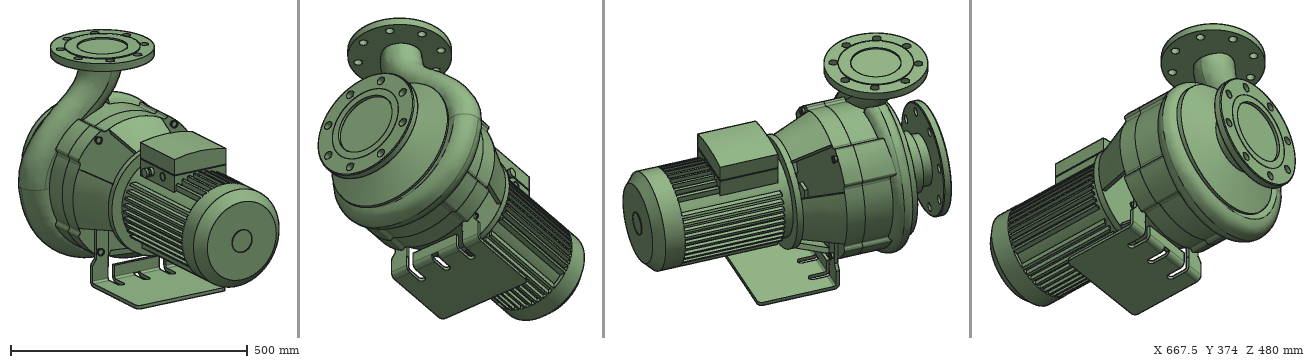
import cadquery as cq
import math


TOTAL_LENGTH = 667.5
DISCHARGE_HEIGHT = 280.0
FOOT_DEPTH = 200.0
VOLUTE_X = 125.0

SUCTION_FLANGE_D = 250.0
SUCTION_FLANGE_END = 19.0
SUCTION_RIM_CHAMFER = 2.0
SUCTION_FACE_D = 172.0
SUCTION_FACE_HEIGHT = 1.0
SUCTION_PORT_D = 139.5
SUCTION_PORT_DEPTH = 7.0
SUCTION_BOLT_CIRCLE_D = 210.0
SUCTION_HOLE_D = 19.0
SUCTION_NECK_D = 114.0
SUCTION_COLLAR_D = 134.0
COLLAR_START = 42.0
COLLAR_END = 62.0

DISCHARGE_FLANGE_D = 220.0
DISCHARGE_FLANGE_BOTTOM = 260.0
DISCHARGE_FACE_D = 160.0
DISCHARGE_FACE_HEIGHT = 2.0
DISCHARGE_PORT_D = 107.0
DISCHARGE_PORT_DEPTH = 3.5
DISCHARGE_BOLT_CIRCLE_D = 180.0
DISCHARGE_HOLE_D = 18.0
FLANGE_HOLES = 8

COVER_R = 151.0
CONE_END = 88.0
CORE_END = 161.5
DRUM_R = 157.0
CASING_END = 209.5

SPIRAL_STATIONS = [
    (0, 169.0, 37.0),
    (45, 164.0, 35.0),
    (90, 155.5, 32.0),
    (135, 147.0, 29.5),
    (180, 140.0, 27.5),
    (225, 141.5, 27.5),
    (270, 147.0, 29.5),
]
PIPE_STATIONS = [
    (-169.0, 0.0, 0, 37.0),
    (-119.5, 105.0, 42, 37.5),
    (-65.5, 151.0, 44, 39.0),
    (-24.0, 192.0, 22, 41.5),
    (-3.5, 263.5, 15, 44.0),
]

PAD_R = 166.0
PAD_FOOT_ANGLE = 27.7
PAD_MID_ANGLE = 30.0
PAD_TOP_ANGLE = 31.6
PAD_MID_R = 162.0

LANTERN_RING_END = 251.0
LANTERN_FLANGE_START = 337.0
LANTERN_FLANGE_END = 351.0
LANTERN_FLANGE_R = 247.0 / 2
ARM_THICKNESS = 13.0
ARM_HALF_ANGLE = 25.0

MOTOR_BODY_R = 197.0 / 2
MOTOR_R = 217.0 / 2
FIN_START = 372.5
FIN_END = 599.5
FIN_PITCH = 15.0
FIN_THICKNESS = 5.0
FINS_EACH_WAY = 4
BELL_CHAMFER = 21.5
BELL_END = 665.5
END_CAP_D = 50.0

BOX_LENGTH = 131.5
BOX_HALF_WIDTH = 65.5
BOX_BOTTOM = 73.5
BOX_SIDE_TOP = 147.5
BOX_CROWN = 155.0
LID_SEAM_Z = 111.0
LID_SEAM_SIZE = 1.5
ENTRY_Z = 95.5
GLAND_X = 417.0
PLUG_X = 458.0
PLUG_D = 18.0
PLUG_DEPTH = 1.5
GLAND_D = 19.0
GLAND_NECK_D = 16.0
GLAND_HEAD_D = 20.0
GLAND_LENGTH = 19.5
GLAND_COLLAR_LENGTH = 7.5
GLAND_HEAD_LENGTH = 7.5

FOOT_END = 434.5
FOOT_HALF_WIDTH = 113.0
FOOT_THICKNESS = 8.0
FOOT_BEND_R = 5.0
FOOT_CORNER = 11.0
LUG_TOP = -66.0
LUG_HALF_WIDTH = 103.0
LUG_SHOULDER_TOP = -141.0
LUG_SHOULDER_BOTTOM = -154.0
ARM_CLEARANCE_HALF_WIDTH = 72.0
ARM_CLEARANCE_BOTTOM = -163.0
SLOT_WIDTH = 16.0
SLOT_PITCH = 65.0
SLOT_END = 302.5
CENTRE_SLOT_TOP = -189.5

BOLT_Y = 95.5
BOLT_Z = 124.0
BOLT_D = 13.0
BOLT_RIM_D = 16.0
BOLT_LENGTH = 8.0
BOLT_RIM_LENGTH = 2.0


def disc(radius, start, end):
    """Cylinder on the shaft axis from x = start to x = end."""
    return cq.Workplane("YZ").workplane(offset=start).circle(radius).extrude(end - start)


def turned(profile):
    """Solid of revolution about the shaft from (x, radius) points."""
    return cq.Workplane("XY").polyline(profile).close().revolve(360, (0, 0, 0), (1, 0, 0))


def around_shaft(radius, degrees):
    """(y, z) point at an angle from +Y toward +Z."""
    angle = math.radians(degrees)
    return (radius * math.cos(angle), radius * math.sin(angle))


def padded_drum(start, end):
    """Drum with four raised pads at its diagonals; the pad sides are smooth S curves."""
    outline = cq.Workplane("YZ").workplane(offset=start).moveTo(*around_shaft(DRUM_R, 0))
    for quarter in range(4):
        base = 90 * quarter
        outline = (
            outline.threePointArc(
                around_shaft(DRUM_R, base + PAD_FOOT_ANGLE / 2),
                around_shaft(DRUM_R, base + PAD_FOOT_ANGLE),
            )
            .tangentArcPoint(around_shaft(PAD_MID_R, base + PAD_MID_ANGLE), relative=False)
            .tangentArcPoint(around_shaft(PAD_R, base + PAD_TOP_ANGLE), relative=False)
            .threePointArc(
                around_shaft(PAD_R, base + 45),
                around_shaft(PAD_R, base + 90 - PAD_TOP_ANGLE),
            )
            .tangentArcPoint(around_shaft(PAD_MID_R, base + 90 - PAD_MID_ANGLE), relative=False)
            .tangentArcPoint(around_shaft(DRUM_R, base + 90 - PAD_FOOT_ANGLE), relative=False)
            .threePointArc(
                around_shaft(DRUM_R, base + 90 - PAD_FOOT_ANGLE / 2),
                around_shaft(DRUM_R, base + 90),
            )
        )
    return outline.close().extrude(end - start)


def tube_section(y, z, direction_y, direction_z, radius):
    """Circle centred in the volute mid plane and square to the given direction."""
    return cq.Wire.makeCircle(radius, cq.Vector(VOLUTE_X, y, z), cq.Vector(0, direction_y, direction_z))


def spiral_tube():
    """Tapering scroll from the discharge start round under the casing to its top."""
    sections = []
    for degrees, centre_r, tube_r in SPIRAL_STATIONS:
        angle = math.radians(degrees)
        y, z = around_shaft(centre_r, 180 + degrees)
        sections.append(tube_section(y, z, math.sin(angle), -math.cos(angle), tube_r))
    return cq.Workplane(cq.Solid.makeLoft(sections))


def discharge_pipe():
    """Swan-neck pipe that leaves the scroll upward and ends under the discharge flange."""
    sections = []
    for y, z, lean, tube_r in PIPE_STATIONS:
        angle = math.radians(lean)
        sections.append(tube_section(y, z, math.sin(angle), math.cos(angle), tube_r))
    return cq.Workplane(cq.Solid.makeLoft(sections))


def suction_branch():
    """Suction flange, neck, collar and the cone that opens to the volute."""
    flange_r = SUCTION_FLANGE_D / 2
    rim_r = flange_r - SUCTION_RIM_CHAMFER
    face_r = SUCTION_FACE_D / 2
    flange_start = SUCTION_FACE_HEIGHT
    collar_r = SUCTION_COLLAR_D / 2
    branch = turned([
        (0, 0),
        (0, face_r),
        (flange_start, face_r),
        (flange_start, rim_r),
        (flange_start + SUCTION_RIM_CHAMFER, flange_r),
        (SUCTION_FLANGE_END - SUCTION_RIM_CHAMFER, flange_r),
        (SUCTION_FLANGE_END, rim_r),
        (SUCTION_FLANGE_END, SUCTION_NECK_D / 2),
        (COLLAR_START, SUCTION_NECK_D / 2),
        (COLLAR_START, collar_r),
        (COLLAR_END, collar_r),
        (CONE_END, COVER_R),
        (CORE_END, COVER_R),
        (CORE_END, 0),
    ])
    holes = (
        cq.Workplane("YZ")
        .polarArray(SUCTION_BOLT_CIRCLE_D / 2, 180 / FLANGE_HOLES, 360, FLANGE_HOLES)
        .circle(SUCTION_HOLE_D / 2)
        .extrude(SUCTION_FLANGE_END)
    )
    return branch.cut(holes).cut(disc(SUCTION_PORT_D / 2, 0, SUCTION_PORT_DEPTH))


def discharge_flange():
    """Flange with a raised face, without its port and holes."""
    flange_top = DISCHARGE_HEIGHT - DISCHARGE_FACE_HEIGHT
    base = cq.Workplane("XY").workplane(offset=DISCHARGE_FLANGE_BOTTOM).center(VOLUTE_X, 0)
    flange = base.circle(DISCHARGE_FLANGE_D / 2).extrude(flange_top - DISCHARGE_FLANGE_BOTTOM)
    face = base.circle(DISCHARGE_FACE_D / 2).extrude(DISCHARGE_HEIGHT - DISCHARGE_FLANGE_BOTTOM)
    return flange.union(face)


def discharge_openings():
    """Shallow port and the bolt holes of the discharge flange."""
    top = cq.Workplane("XY").workplane(offset=DISCHARGE_HEIGHT).center(VOLUTE_X, 0)
    port = top.circle(DISCHARGE_PORT_D / 2).extrude(-DISCHARGE_PORT_DEPTH)
    holes = (
        top.polarArray(DISCHARGE_BOLT_CIRCLE_D / 2, 180 / FLANGE_HOLES, 360, FLANGE_HOLES)
        .circle(DISCHARGE_HOLE_D / 2)
        .extrude(DISCHARGE_FLANGE_BOTTOM - DISCHARGE_HEIGHT)
    )
    return port.union(holes)


def make_casing():
    """Suction branch, padded drum, scroll and discharge in one piece."""
    casing = suction_branch().union(padded_drum(VOLUTE_X, CASING_END))
    casing = casing.union(spiral_tube()).union(discharge_pipe()).union(discharge_flange())
    return casing.cut(discharge_openings())


def arm_windows():
    """Four wedges at the diagonals that open the lantern cone between its arms."""
    reach = 2 * DRUM_R
    windows = cq.Workplane("YZ").workplane(offset=LANTERN_RING_END)
    for quarter in range(4):
        base = 90 * quarter
        windows = (
            windows.moveTo(0, 0)
            .lineTo(*around_shaft(reach, base + ARM_HALF_ANGLE))
            .lineTo(*around_shaft(reach, base + 90 - ARM_HALF_ANGLE))
            .close()
        )
    return windows.extrude(LANTERN_FLANGE_START - LANTERN_RING_END)


def make_lantern():
    """Ring, four arms on a cone, and the motor flange."""
    wide_r = DRUM_R
    narrow_r = LANTERN_FLANGE_R
    shell = turned([
        (LANTERN_RING_END, wide_r - ARM_THICKNESS),
        (LANTERN_RING_END, wide_r),
        (LANTERN_FLANGE_START, narrow_r),
        (LANTERN_FLANGE_START, narrow_r - ARM_THICKNESS),
    ])
    arms = shell.cut(arm_windows())
    ring = padded_drum(CASING_END, LANTERN_RING_END)
    flange = disc(LANTERN_FLANGE_R, LANTERN_FLANGE_START, LANTERN_FLANGE_END)
    return ring.union(arms).union(flange)


def motor_core():
    """Plain turned motor: finless body, end bell and end cap."""
    return turned([
        (LANTERN_FLANGE_END, 0),
        (LANTERN_FLANGE_END, MOTOR_BODY_R),
        (FIN_END, MOTOR_BODY_R),
        (FIN_END, MOTOR_R),
        (BELL_END - BELL_CHAMFER, MOTOR_R),
        (BELL_END, MOTOR_R - BELL_CHAMFER),
        (BELL_END, END_CAP_D / 2),
        (TOTAL_LENGTH, END_CAP_D / 2),
        (TOTAL_LENGTH, 0),
    ])


def cooling_fins():
    """Parallel fins above, below and on both sides, trimmed to the motor diameter."""
    fin_length = FIN_END - FIN_START
    fin_middle = (FIN_START + FIN_END) / 2
    centres = [(fin_middle, step * FIN_PITCH) for step in range(-FINS_EACH_WAY, FINS_EACH_WAY + 1)]
    upright = (
        cq.Workplane("XY").pushPoints(centres)
        .rect(fin_length, FIN_THICKNESS)
        .extrude(MOTOR_R, both=True)
    )
    sideways = upright.rotate((0, 0, 0), (1, 0, 0), 90)
    envelope = disc(MOTOR_R, FIN_START, FIN_END).cut(disc(MOTOR_BODY_R, FIN_START, FIN_END))
    return upright.union(sideways).intersect(envelope)


def box_envelope():
    """Terminal box outline with an arched lid, before it is seated on the motor."""
    return (
        cq.Workplane("YZ").workplane(offset=FIN_START)
        .moveTo(-BOX_HALF_WIDTH, BOX_BOTTOM)
        .lineTo(BOX_HALF_WIDTH, BOX_BOTTOM)
        .lineTo(BOX_HALF_WIDTH, BOX_SIDE_TOP)
        .threePointArc((0, BOX_CROWN), (-BOX_HALF_WIDTH, BOX_SIDE_TOP))
        .close()
        .extrude(BOX_LENGTH)
    )


def make_motor():
    """Motor whose upper fins stop where the terminal box stands."""
    return motor_core().union(cooling_fins().cut(box_envelope()))


def make_terminal_box():
    """Box seated on the motor body, with a lid seam, a cable gland and a blanked entry."""
    box_middle = FIN_START + BOX_LENGTH / 2
    seam_place = cq.Workplane("XY").workplane(offset=LID_SEAM_Z).center(box_middle, 0)
    seam = (
        seam_place.rect(BOX_LENGTH, 2 * BOX_HALF_WIDTH)
        .rect(BOX_LENGTH - 2 * LID_SEAM_SIZE, 2 * (BOX_HALF_WIDTH - LID_SEAM_SIZE))
        .extrude(LID_SEAM_SIZE)
    )
    wall = cq.Workplane("XZ", origin=(0, -BOX_HALF_WIDTH, ENTRY_Z))
    entry = wall.center(PLUG_X, 0).circle(PLUG_D / 2).extrude(-PLUG_DEPTH)
    gland_neck = wall.center(GLAND_X, 0).circle(GLAND_NECK_D / 2).extrude(GLAND_LENGTH)
    gland_collar = wall.center(GLAND_X, 0).circle(GLAND_D / 2).extrude(GLAND_COLLAR_LENGTH)
    gland_head = (
        wall.workplane(offset=GLAND_LENGTH - GLAND_HEAD_LENGTH)
        .center(GLAND_X, 0)
        .circle(GLAND_HEAD_D / 2)
        .extrude(GLAND_HEAD_LENGTH)
    )
    seated = box_envelope().cut(disc(MOTOR_BODY_R, FIN_START, FIN_START + BOX_LENGTH))
    return seated.cut(seam).cut(entry).union(gland_neck).union(gland_collar).union(gland_head)


def foot_slot(y, top):
    """Round-ended slot through the sole that runs out through the bend."""
    length = SLOT_END - LANTERN_RING_END
    straight = length - SLOT_WIDTH / 2
    bar = (
        cq.Workplane("XY")
        .box(straight, SLOT_WIDTH, top + FOOT_DEPTH, centered=(False, True, False))
        .translate((LANTERN_RING_END, y, -FOOT_DEPTH))
    )
    rounded_end = (
        cq.Workplane("XY", origin=(LANTERN_RING_END + straight, y, -FOOT_DEPTH))
        .circle(SLOT_WIDTH / 2)
        .extrude(top + FOOT_DEPTH)
    )
    return bar.union(rounded_end)


def make_foot():
    """Bent plate: two lugs beside the lower arm, and a slotted sole under the motor."""
    start = LANTERN_RING_END
    width = 2 * FOOT_HALF_WIDTH
    sole = (
        cq.Workplane("XY").box(FOOT_END - start, width, FOOT_THICKNESS, centered=(False, True, False))
        .translate((start, 0, -FOOT_DEPTH))
        .edges("|Z and >X").fillet(FOOT_CORNER)
    )
    upright = (
        cq.Workplane("YZ").workplane(offset=start)
        .polyline([
            (-FOOT_HALF_WIDTH, -FOOT_DEPTH),
            (FOOT_HALF_WIDTH, -FOOT_DEPTH),
            (FOOT_HALF_WIDTH, LUG_SHOULDER_BOTTOM),
            (LUG_HALF_WIDTH, LUG_SHOULDER_TOP),
            (LUG_HALF_WIDTH, LUG_TOP),
            (ARM_CLEARANCE_HALF_WIDTH, LUG_TOP),
            (ARM_CLEARANCE_HALF_WIDTH, ARM_CLEARANCE_BOTTOM),
            (-ARM_CLEARANCE_HALF_WIDTH, ARM_CLEARANCE_BOTTOM),
            (-ARM_CLEARANCE_HALF_WIDTH, LUG_TOP),
            (-LUG_HALF_WIDTH, LUG_TOP),
            (-LUG_HALF_WIDTH, LUG_SHOULDER_TOP),
            (-FOOT_HALF_WIDTH, LUG_SHOULDER_BOTTOM),
        ])
        .close()
        .extrude(FOOT_THICKNESS)
    )
    inner_corner = (start + FOOT_THICKNESS, 0, FOOT_THICKNESS - FOOT_DEPTH)
    foot = sole.union(upright)
    foot = foot.edges(cq.selectors.NearestToPointSelector(inner_corner)).fillet(FOOT_BEND_R)
    foot = foot.edges("|Y and <X and <Z").fillet(FOOT_BEND_R + FOOT_THICKNESS)
    for side in (-1, 0, 1):
        slot_top = CENTRE_SLOT_TOP if side == 0 else ARM_CLEARANCE_BOTTOM
        foot = foot.cut(foot_slot(side * SLOT_PITCH, slot_top))
    return foot


def make_bolt(y, z, seat_x):
    """Bolt end with a rim, standing on a seat that faces +X."""
    place = cq.Workplane("YZ", origin=(seat_x, y, z))
    shank = place.circle(BOLT_D / 2).extrude(BOLT_LENGTH)
    rim_place = place.workplane(offset=BOLT_LENGTH - BOLT_RIM_LENGTH)
    rim = rim_place.circle(BOLT_RIM_D / 2).extrude(BOLT_RIM_LENGTH)
    return shank.union(rim)


casing = make_casing()
lantern = make_lantern()
foot = make_foot()
motor = make_motor()
terminal_box = make_terminal_box()

bolts = []
for y_side in (-1, 1):
    bolts.append(make_bolt(y_side * BOLT_Y, BOLT_Z, LANTERN_RING_END))
    bolts.append(make_bolt(y_side * BOLT_Y, -BOLT_Z, LANTERN_RING_END + FOOT_THICKNESS))

result = cq.Compound.makeCompound([
    casing.val(),
    lantern.val(),
    foot.val(),
    motor.val(),
    terminal_box.val(),
    *[bolt.val() for bolt in bolts],
])